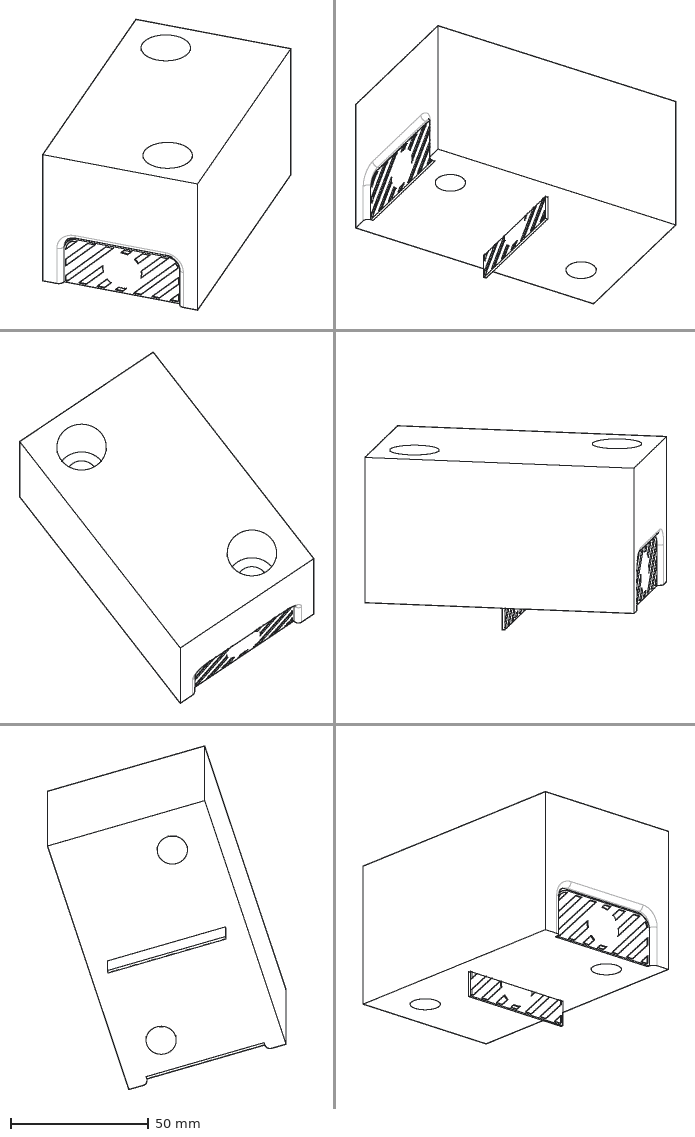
import math

import cadquery as cq

block_width = 60.0
block_length = 100.0
block_height = 54.0

bolt_hole_diameter = 11.0
counterbore_diameter = 18.0
counterbore_depth = block_height / 2
bolt_offset_x = 13.0
bolt_offset_y = 35.0

label_width = 45.0
label_height = 19.0
label_thickness = 1.0
label_corner_radius = 5.0

stripe_angle = 45.0
stripe_width = 2.0
stripe_pitch = 5.0
stripe_shift = 0.4
stripe_depth = 0.5
stripe_border = 0.7
plain_disc_radius = 7.5

recess_width = label_width
recess_height = label_height + 1.0
recess_corner_radius = 5.0
recess_depth = 3.0
recess_edge_radius = 2.0

front_face_y = -block_length / 2
recess_floor_y = front_face_y + recess_depth


def arched_plate(width, height, thickness, corner_radius):
    """Upright plate from Y = 0 toward -Y, standing on Z = 0, with rounded top corners."""
    return (
        cq.Workplane("XZ")
        .center(0, height / 2)
        .rect(width, height)
        .extrude(thickness)
        .edges("|Y and >Z")
        .edges("<X or >X")
        .fillet(corner_radius)
    )


def hazard_stripes():
    """Engraving of the label: parallel slanted bars, cut back to the border and the plain disc."""
    label_diagonal = math.hypot(label_width, label_height)
    stripes_each_side = math.ceil(label_diagonal / 2 / stripe_pitch)
    bar_offsets = [
        (0, -stripe_shift + stripe_pitch * index)
        for index in range(-stripes_each_side, stripes_each_side + 1)
    ]
    label_centre = (0, 0, label_height / 2)
    bars = (
        cq.Workplane("XZ")
        .pushPoints(bar_offsets)
        .rect(label_diagonal, stripe_width)
        .extrude(stripe_depth)
        .rotate((0, 0, 0), (0, 1, 0), -stripe_angle)
        .translate(label_centre)
    )
    field = arched_plate(
        label_width - 2 * stripe_border,
        label_height - 2 * stripe_border,
        stripe_depth,
        label_corner_radius - stripe_border,
    ).translate((0, 0, stripe_border))
    plain_disc = cq.Workplane("XZ").circle(plain_disc_radius).extrude(stripe_depth).translate(label_centre)
    return field.intersect(bars).cut(plain_disc)


def label_blank():
    """Label plate before it is engraved."""
    return arched_plate(label_width, label_height, label_thickness, label_corner_radius)


def label():
    """Label plate with its stripes sunk into the front face."""
    engraving = hazard_stripes().translate((0, stripe_depth - label_thickness, 0))
    return label_blank().cut(engraving)


def drilled_block():
    return (
        cq.Workplane("XY")
        .box(block_width, block_length, block_height, centered=(True, True, False))
        .faces(">Z")
        .workplane()
        .pushPoints([(-bolt_offset_x, bolt_offset_y), (bolt_offset_x, -bolt_offset_y)])
        .cboreHole(bolt_hole_diameter, counterbore_diameter, counterbore_depth)
    )


def cut_front_recess(body):
    recess = arched_plate(recess_width, recess_height, recess_depth, recess_corner_radius)
    body = body.cut(recess.translate((0, recess_floor_y, 0)))
    front_edges = body.faces("<Y").edges()
    rim = front_edges.filter(
        lambda edge: abs(edge.Center().x) <= recess_width / 2 and 0 < edge.Center().z <= recess_height
    )
    return body.newObject(rim.vals()).fillet(recess_edge_radius)


front_label_place = (0, recess_floor_y, 0)
middle_label_place = (0, label_thickness / 2, -label_height / 2)

labels = [label().translate(place) for place in (front_label_place, middle_label_place)]

slot = label_blank().translate(middle_label_place)
block = cut_front_recess(drilled_block()).cut(slot)

result = cq.Compound.makeCompound([block.val(), *[plate.val() for plate in labels]])